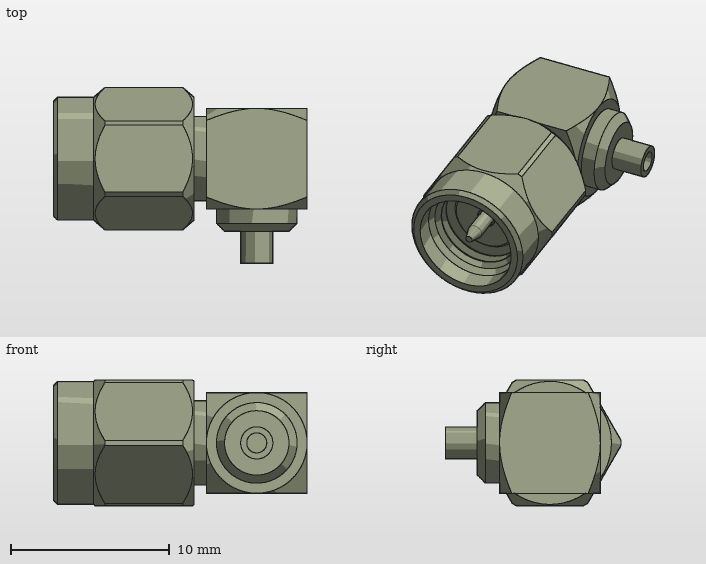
import cadquery as cq
import math

TOTAL_LENGTH = 16.0

SLEEVE_DIAMETER = 7.76
SLEEVE_CHAMFER = 0.25
HEX_START = 2.53
HEX_END = 8.88
HEX_FLATS = 7.94
HEX_CORNER_DIAMETER = 9.0
HEX_CHAMFER_LENGTH = 0.72

BORE_DIAMETER = 6.35
BORE_DEPTH = 1.23
LEAD_END_DIAMETER = 5.92
LEAD_END_DEPTH = 1.71
CREST_DIAMETER = 5.33
CREST_START = 2.0
CREST_WIDTH = 0.06
THREAD_PITCH = 0.7
THREAD_ROOT_DIAMETER = BORE_DIAMETER
GROOVE_COUNT = 2
THREAD_END = CREST_START + GROOVE_COUNT * THREAD_PITCH + CREST_WIDTH
BORE_FLOOR = 3.12

INSULATOR_DIAMETER = 4.45
INSULATOR_CHAMFER = 0.16
PIN_CLEARANCE_DIAMETER = 1.2
PIN_CLEARANCE_DEPTH = 0.16
PIN_DIAMETER = 0.95
PIN_TIP_DIAMETER = 0.43
PIN_TIP_START = 0.5
PIN_TAPER_LENGTH = 0.86

NECK_DIAMETER = 5.33
BLOCK_SIZE = 6.35
BLOCK_CHAMFER_ANGLE = 30.0

BOSS_DIAMETER = 5.09
BOSS_LENGTH = 1.4
BOSS_CHAMFER = 0.51
TUBE_DIAMETER = 2.03
TUBE_HOLE_DIAMETER = 1.26
TUBE_LENGTH = 2.02

BLOCK_START = TOTAL_LENGTH - BLOCK_SIZE
BLOCK_CENTER = TOTAL_LENGTH - BLOCK_SIZE / 2


def cylinder_x(diameter, start, end):
    """Cylinder along the mating axis."""
    return cq.Workplane("YZ").workplane(offset=start).circle(diameter / 2).extrude(end - start)


def revolve_x(profile):
    """Revolve (x, radius) points, closed along the mating axis."""
    points = [(profile[0][0], 0)] + profile + [(profile[-1][0], 0)]
    return cq.Workplane("XY").polyline(points).close().revolve(360, (0, 0, 0), (1, 0, 0))


def cylinder_outlet(diameter, start, length):
    """Cylinder toward -Y on the cable axis, from a distance below the mating axis."""
    plane = cq.Workplane("XZ", origin=(BLOCK_CENTER, -start, 0))
    return plane.circle(diameter / 2).extrude(length)


def make_nut():
    sleeve = cylinder_x(SLEEVE_DIAMETER, 0, HEX_START).faces("<X").chamfer(SLEEVE_CHAMFER)
    hexagon = (
        cq.Workplane("YZ").workplane(offset=HEX_START)
        .polygon(6, HEX_FLATS / math.cos(math.radians(30)))
        .extrude(HEX_END - HEX_START)
    )
    end_radius = SLEEVE_DIAMETER / 2
    corner_radius = HEX_CORNER_DIAMETER / 2
    envelope = revolve_x([
        (HEX_START, end_radius),
        (HEX_START + HEX_CHAMFER_LENGTH, corner_radius),
        (HEX_END - HEX_CHAMFER_LENGTH, corner_radius),
        (HEX_END, end_radius),
    ])
    return sleeve.union(hexagon.intersect(envelope))


def make_bore():
    crest_radius = CREST_DIAMETER / 2
    root_radius = THREAD_ROOT_DIAMETER / 2
    profile = [
        (0, BORE_DIAMETER / 2),
        (BORE_DEPTH, BORE_DIAMETER / 2),
        (LEAD_END_DEPTH, LEAD_END_DIAMETER / 2),
        (CREST_START, crest_radius),
    ]
    for index in range(GROOVE_COUNT):
        groove_start = CREST_START + index * THREAD_PITCH + CREST_WIDTH
        groove_end = CREST_START + (index + 1) * THREAD_PITCH
        profile += [
            (groove_start, crest_radius),
            ((groove_start + groove_end) / 2, root_radius),
            (groove_end, crest_radius),
        ]
    profile.append((THREAD_END, crest_radius))
    return revolve_x(profile)


def make_insulator():
    """Seat that closes the bore, and a raised disc with a shallow clearance round the pin."""
    front = BORE_FLOOR - INSULATOR_CHAMFER
    disc = revolve_x([
        (front, INSULATOR_DIAMETER / 2 - INSULATOR_CHAMFER),
        (BORE_FLOOR, INSULATOR_DIAMETER / 2),
    ])
    clearance = cylinder_x(PIN_CLEARANCE_DIAMETER, front, front + PIN_CLEARANCE_DEPTH)
    seat = cylinder_x(THREAD_ROOT_DIAMETER, BORE_FLOOR, THREAD_END)
    return seat.union(disc).cut(clearance)


def make_pin():
    return revolve_x([
        (PIN_TIP_START, PIN_TIP_DIAMETER / 2),
        (PIN_TIP_START + PIN_TAPER_LENGTH, PIN_DIAMETER / 2),
        (HEX_END, PIN_DIAMETER / 2),
    ])


def make_block():
    """Cube with its corners turned down conically about the cable axis at both ends."""
    half = BLOCK_SIZE / 2
    corner_radius = half * math.sqrt(2)
    corner_drop = (corner_radius - half) * math.tan(math.radians(BLOCK_CHAMFER_ANGLE))
    cube = cq.Workplane("XY").box(BLOCK_SIZE, BLOCK_SIZE, BLOCK_SIZE)
    envelope = (
        cq.Workplane("XY")
        .polyline([
            (0, -half),
            (half, -half),
            (corner_radius, corner_drop - half),
            (corner_radius, half - corner_drop),
            (half, half),
            (0, half),
        ])
        .close()
        .revolve(360, (0, 0, 0), (0, 1, 0))
    )
    return cube.intersect(envelope).translate((BLOCK_CENTER, 0, 0))


def make_outlet():
    boss_start = BLOCK_SIZE / 2
    tube_start = boss_start + BOSS_LENGTH
    boss = cylinder_outlet(BOSS_DIAMETER, boss_start, BOSS_LENGTH).faces("<Y").chamfer(BOSS_CHAMFER)
    tube = cylinder_outlet(TUBE_DIAMETER, tube_start, TUBE_LENGTH)
    hole = cylinder_outlet(TUBE_HOLE_DIAMETER, tube_start, TUBE_LENGTH)
    return boss.union(tube.cut(hole))


neck = cylinder_x(NECK_DIAMETER, HEX_END, BLOCK_START)
result = (
    make_nut()
    .cut(make_bore())
    .union(make_insulator())
    .union(make_pin())
    .union(neck)
    .union(make_block())
    .union(make_outlet())
)